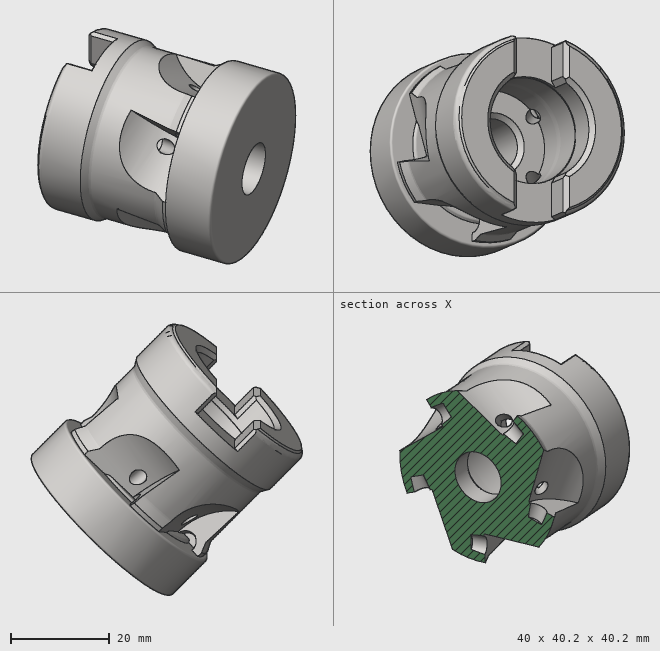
import cadquery as cq
import math

length = 39.95
flange_dia = 40.15
flange_face = 29.58
flange_fillet = 0.5
collar_dia = 38.0
waist_dia = 36.0

rear_chamfer = 0.4
rear_face_dia = 35.6
rear_round_end = 1.52
rear_collar_end = 10.1
waist_start = 11.85
waist_end = 26.53
front_collar_start = 28.57
waist_fillet = 0.95

bore_dia = 22.0
bore_relief_dia = 22.3
bore_inner_dia = 22.15
bore_depth = 22.75
bore_chamfer = 1.0
relief_start = 7.7
relief_end = 15.05
relief_taper_end = 16.65
through_dia = 11.0
through_chamfer = 1.05

slot_width = 10.35
slot_depth = 6.45
slot_chamfer = 1.0
slot_edge_chamfer = 0.8

pocket_angles = [0.0, 72.7, 144.0, 218.0, 288.0]
pocket_lead = 16.0
pocket_helix = math.radians(10)
pocket_pivot = 22.2
pocket_floor = 12.45
pocket_sweep_radius = 14.65
pocket_flat_start = 6.65
pocket_reach = 24.08

relief_hole_dia = 4.5
relief_hole_depth = 3.2
relief_hole_x = 29.38
relief_hole_height = 14.93

disc_dia = 30.35
disc_height = 0.52
disc_fillet = 0.5

coolant_dia = 3.0
coolant_slope = math.radians(42)
coolant_lag = 1.2
coolant_back = 3.2
coolant_length = 9.65


def revolve_about_x(profile):
    return profile.close().revolve(360, (0, 0, 0), (1, 0, 0))


def make_body():
    collar_r = collar_dia / 2
    waist_r = waist_dia / 2
    face_r = rear_face_dia / 2
    profile = (
        cq.Workplane("XY")
        .lineTo(0, face_r)
        .lineTo(rear_chamfer, face_r + rear_chamfer)
    )
    run = rear_round_end - rear_chamfer
    rise = collar_r - face_r - rear_chamfer
    radius = (run**2 + rise**2) / (2 * rise)
    profile = (
        profile.radiusArc((rear_round_end, collar_r), radius)
        .lineTo(rear_collar_end, collar_r)
        .lineTo(waist_start, waist_r)
        .lineTo(waist_end, waist_r)
        .lineTo(front_collar_start, collar_r)
        .lineTo(flange_face, collar_r)
        .lineTo(flange_face, 0)
    )
    body = revolve_about_x(profile)
    waist_ends = cq.selectors.BoxSelector(
        (waist_start - 0.4, -flange_dia, -flange_dia),
        (waist_end + 0.4, flange_dia, flange_dia),
        boundingbox=True,
    )
    return body.edges(waist_ends).edges("%CIRCLE").fillet(waist_fillet)


def make_flange():
    flange = (
        cq.Workplane("YZ", origin=(flange_face, 0, 0))
        .circle(flange_dia / 2)
        .extrude(length - flange_face)
        .edges()
        .fillet(flange_fillet)
    )
    disc_r = disc_dia / 2
    disc = revolve_about_x(
        cq.Workplane("XY")
        .moveTo(flange_face - disc_height, 0)
        .lineTo(flange_face - disc_height, disc_r - disc_height)
        .lineTo(flange_face, disc_r)
        .lineTo(flange_face, 0)
    )
    disc = disc.faces("<X").edges().fillet(disc_fillet)
    return flange.union(disc)


def make_bore():
    bore_r = bore_dia / 2
    relief_r = bore_relief_dia / 2
    inner_r = bore_inner_dia / 2
    through_r = through_dia / 2
    return revolve_about_x(
        cq.Workplane("XY")
        .lineTo(0, bore_r + bore_chamfer)
        .lineTo(bore_chamfer, bore_r)
        .lineTo(relief_start, bore_r)
        .lineTo(relief_start, relief_r)
        .lineTo(relief_end, relief_r)
        .lineTo(relief_taper_end, inner_r)
        .lineTo(bore_depth, inner_r)
        .lineTo(bore_depth, through_r + through_chamfer)
        .lineTo(bore_depth + through_chamfer, through_r)
        .lineTo(length, through_r)
        .lineTo(length, 0)
    )


def make_slot():
    half = slot_width / 2
    return (
        cq.Workplane("XY", origin=(0, 0, -flange_dia / 2))
        .moveTo(0, half + slot_chamfer)
        .lineTo(slot_chamfer, half)
        .lineTo(slot_depth, half)
        .lineTo(slot_depth, -half)
        .lineTo(slot_chamfer, -half)
        .lineTo(0, -half - slot_chamfer)
        .close()
        .extrude(flange_dia)
    )


def height_on_circle(dia, y):
    return math.sqrt((dia / 2) ** 2 - y**2)


def make_slot_edge_chamfers():
    wall_y = slot_width / 2
    edge_y = wall_y + slot_edge_chamfer
    upper_corner = cq.Workplane("YZ").polyline(
        [
            (wall_y, height_on_circle(collar_dia, wall_y) - slot_edge_chamfer),
            (edge_y, height_on_circle(collar_dia, edge_y)),
            (edge_y, flange_dia / 2),
            (wall_y, flange_dia / 2),
        ]
    )
    lower_corner = cq.Workplane("YZ").polyline(
        [
            (wall_y, height_on_circle(bore_dia, wall_y) + slot_edge_chamfer),
            (edge_y, height_on_circle(bore_dia, edge_y)),
            (edge_y, 0),
            (wall_y, 0),
        ]
    )
    flats = upper_corner.close().extrude(slot_depth)
    flats = flats.union(lower_corner.close().extrude(slot_depth))
    flats = flats.union(flats.mirror("XY"))
    return flats.union(flats.mirror("XZ"))


def make_pocket(angle):
    a = math.radians(angle)
    tangent_y, tangent_z = -math.sin(a), math.cos(a)
    s, c = math.sin(pocket_helix), math.cos(pocket_helix)
    wall = cq.Plane(
        origin=(pocket_pivot, 0, 0),
        xDir=(c, s * tangent_y, s * tangent_z),
        normal=(-s, c * tangent_y, c * tangent_z),
    )
    rim = pocket_floor + pocket_sweep_radius
    pocket = (
        cq.Workplane(wall)
        .moveTo(pocket_flat_start - pocket_sweep_radius, rim)
        .radiusArc((pocket_flat_start, pocket_floor), -pocket_sweep_radius)
        .lineTo(pocket_reach, pocket_floor)
        .lineTo(pocket_reach, rim)
        .close()
        .extrude(pocket_reach)
    )
    corner_relief = (
        cq.Workplane(wall)
        .center((relief_hole_x - pocket_pivot) / c, relief_hole_height)
        .circle(relief_hole_dia / 2)
        .extrude(-relief_hole_depth)
    )
    return pocket.union(corner_relief)


def make_coolant_hole(angle):
    s, c = math.sin(coolant_slope), math.cos(coolant_slope)
    start = (bore_depth - coolant_back * c, bore_dia / 2 - coolant_back * s, 0)
    hole = (
        cq.Workplane(cq.Plane(origin=start, xDir=(0, 0, 1), normal=(c, s, 0)))
        .circle(coolant_dia / 2)
        .extrude(coolant_length)
    )
    return hole.rotate((0, 0, 0), (1, 0, 0), angle)


body = make_body()
for angle in pocket_angles:
    body = body.cut(make_pocket(angle - pocket_lead))
body = body.union(make_flange()).cut(make_bore())
body = body.cut(make_slot()).cut(make_slot_edge_chamfers())
for angle in pocket_angles:
    body = body.cut(make_coolant_hole(angle - coolant_lag))

result = body